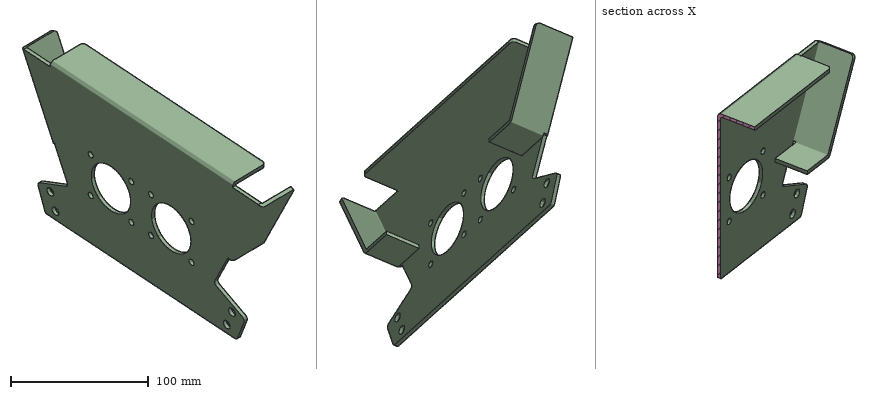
import cadquery as cq
import math

INCH = 25.4
THICKNESS = 0.125 * INCH
INNER_BEND_RADIUS = 0.03 * INCH
OUTER_BEND_RADIUS = THICKNESS + INNER_BEND_RADIUS
CORNER_RADIUS = 0.125 * INCH

OVERALL_WIDTH = 253.99
DEPTH = 33.34
PLATE_HEIGHT = 5.5 * INCH

SIDE_ANGLE = math.radians(25)
FOOT_ANGLE = math.radians(20)
BOTTOM_HALF_WIDTH = 100.8
FOOT_HEIGHT = 23.7

TOP_FLANGE_WIDTH = 192.2
LIP_BOTTOM_Z = 2.625 * INCH
LIP_LENGTH = 1.0 * INCH
LIP_FRONT_Y = OUTER_BEND_RADIUS + INNER_BEND_RADIUS

PORT_X = 1.25 * INCH
PORT_Z = 2.5 * INCH
PORT_DIAMETER = 1.625 * INCH
SCREW_SPACING_X = 1.68 * INCH
SCREW_SPACING_Z = 1.5 * INCH
SCREW_DIAMETER = 0.2 * INCH
FOOT_HOLE_DIAMETER = 0.27 * INCH
LOWER_FOOT_HOLE_X = 90.2
LOWER_FOOT_HOLE_Z = 8.0
FOOT_HOLE_SPACING = 15.8

ALONG_X = -math.sin(SIDE_ANGLE)
ALONG_Z = -math.cos(SIDE_ANGLE)
OUTWARD_X = math.cos(SIDE_ANGLE)
OUTWARD_Z = -math.sin(SIDE_ANGLE)
SHOULDER_X = OVERALL_WIDTH / 2 - OUTER_BEND_RADIUS * OUTWARD_X

LIP_BEND_Z = LIP_BOTTOM_Z + OUTER_BEND_RADIUS
SIDE_FLANGE_LENGTH = (PLATE_HEIGHT - LIP_BEND_Z) / -ALONG_Z
LIP_BEND_X = SHOULDER_X + SIDE_FLANGE_LENGTH * ALONG_X


def both_sides(body):
    """Pair a right-hand body with its mirror image about X = 0."""
    return body.union(body.mirror("YZ"))


def xz_plane(y=0.0):
    """Sketch plane at the given Y with local axes X and Z; negative extrusions run toward +Y."""
    return cq.Workplane("XZ", origin=(0, y, 0))


def make_plate():
    foot_x = BOTTOM_HALF_WIDTH + FOOT_HEIGHT * math.tan(FOOT_ANGLE)
    tip_offset_x = foot_x - SHOULDER_X
    tip_offset_z = FOOT_HEIGHT - PLATE_HEIGHT
    side_length = tip_offset_x * ALONG_X + tip_offset_z * ALONG_Z
    waist_x = SHOULDER_X + side_length * ALONG_X
    waist_z = PLATE_HEIGHT + side_length * ALONG_Z
    half = (
        xz_plane()
        .moveTo(0, 0)
        .lineTo(BOTTOM_HALF_WIDTH, 0)
        .lineTo(foot_x, FOOT_HEIGHT)
        .lineTo(waist_x, waist_z)
        .lineTo(SHOULDER_X, PLATE_HEIGHT)
        .lineTo(0, PLATE_HEIGHT)
        .close()
        .extrude(-THICKNESS)
    )
    foot_region = cq.selectors.BoxSelector(
        (waist_x / 2, -THICKNESS, -THICKNESS),
        (2 * foot_x, DEPTH, PLATE_HEIGHT / 2),
    )
    return both_sides(half.edges("|Y").edges(foot_region).fillet(CORNER_RADIUS))


def angle_strip(plane, length):
    """Bend and flange: local x points outward from the plate edge, local y runs back along +Y."""
    diagonal = math.sqrt(0.5)
    outer = OUTER_BEND_RADIUS
    inner = INNER_BEND_RADIUS
    return (
        cq.Workplane(plane)
        .moveTo(0, 0)
        .threePointArc((outer * diagonal, outer - outer * diagonal), (outer, outer))
        .lineTo(outer, DEPTH)
        .lineTo(inner, DEPTH)
        .lineTo(inner, outer)
        .threePointArc((inner * diagonal, outer - inner * diagonal), (0, THICKNESS))
        .close()
        .extrude(length)
    )


def make_top_flange():
    plane = cq.Plane(
        origin=(TOP_FLANGE_WIDTH / 2, 0, PLATE_HEIGHT),
        xDir=(0, 0, 1),
        normal=(-1, 0, 0),
    )
    strip = angle_strip(plane, TOP_FLANGE_WIDTH)
    return strip.edges("|Z and >Y").fillet(CORNER_RADIUS)


def make_side_flange():
    """Right-hand side flange, built upward from its lower end; its top rear corner is rounded."""
    plane = cq.Plane(
        origin=(LIP_BEND_X, 0, LIP_BEND_Z),
        xDir=(OUTWARD_X, 0, OUTWARD_Z),
        normal=(-ALONG_X, 0, -ALONG_Z),
    )
    strip = angle_strip(plane, SIDE_FLANGE_LENGTH)
    return strip.faces(">Y").edges(">Z").fillet(CORNER_RADIUS)


def make_lip():
    """Horizontal lip turned inward from the lower end of the right-hand side flange."""
    down_angle = math.pi / 2
    mid_angle = (down_angle + SIDE_ANGLE) / 2

    def on_bend(radius, angle):
        """Point on the lip bend, its angle measured from +X toward -Z."""
        return (LIP_BEND_X + radius * math.cos(angle), LIP_BEND_Z - radius * math.sin(angle))

    end_x = LIP_BEND_X - LIP_LENGTH
    return (
        xz_plane(LIP_FRONT_Y)
        .moveTo(*on_bend(OUTER_BEND_RADIUS, SIDE_ANGLE))
        .threePointArc(on_bend(OUTER_BEND_RADIUS, mid_angle), on_bend(OUTER_BEND_RADIUS, down_angle))
        .lineTo(end_x, LIP_BOTTOM_Z)
        .lineTo(end_x, LIP_BOTTOM_Z + THICKNESS)
        .lineTo(*on_bend(INNER_BEND_RADIUS, down_angle))
        .threePointArc(on_bend(INNER_BEND_RADIUS, mid_angle), on_bend(INNER_BEND_RADIUS, SIDE_ANGLE))
        .close()
        .extrude(LIP_FRONT_Y - DEPTH)
    )


def drill(points, diameter):
    return xz_plane().pushPoints(points).circle(diameter / 2).extrude(-THICKNESS)


def make_holes():
    ports = drill([(PORT_X, PORT_Z)], PORT_DIAMETER)
    screws = drill(
        [
            (PORT_X + i * SCREW_SPACING_X / 2, PORT_Z + j * SCREW_SPACING_Z / 2)
            for i in (-1, 1)
            for j in (-1, 1)
        ],
        SCREW_DIAMETER,
    )
    upper_foot_hole = (
        LOWER_FOOT_HOLE_X + FOOT_HOLE_SPACING * math.sin(FOOT_ANGLE),
        LOWER_FOOT_HOLE_Z + FOOT_HOLE_SPACING * math.cos(FOOT_ANGLE),
    )
    foot_holes = drill([(LOWER_FOOT_HOLE_X, LOWER_FOOT_HOLE_Z), upper_foot_hole], FOOT_HOLE_DIAMETER)
    return both_sides(ports.union(screws).union(foot_holes))


sides = both_sides(make_side_flange().union(make_lip()))
result = make_plate().cut(make_holes()).union(make_top_flange()).union(sides)